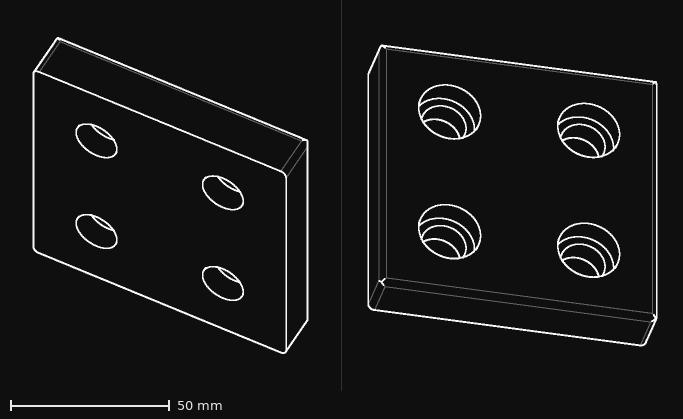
import cadquery as cq

side = 90.0
thickness = 16.0
edge_radius = 2.0

hole_spacing = side / 2
hole_diameter = 14.5
counterbore_diameter = 20.0
counterbore_depth = 8.0


def make_plate():
    """Plate with rounded corners, cut to a rounded rim on its +Y face that is mitred at the corners."""
    block = cq.Workplane("XY").box(side, thickness, side)
    rounded_corners = block.edges("|Y").fillet(edge_radius)
    rim_along_x = block.edges("|X and >Y").fillet(edge_radius)
    rim_along_z = block.edges("|Z and >Y").fillet(edge_radius)
    return rounded_corners.intersect(rim_along_x).intersect(rim_along_z)


def drill_holes(plate):
    """Through holes along Y, counterbored from the +Y face."""
    return (
        plate.faces(">Y")
        .workplane(centerOption="CenterOfBoundBox")
        .rarray(hole_spacing, hole_spacing, 2, 2)
        .cboreHole(hole_diameter, counterbore_diameter, counterbore_depth)
    )


result = drill_holes(make_plate())